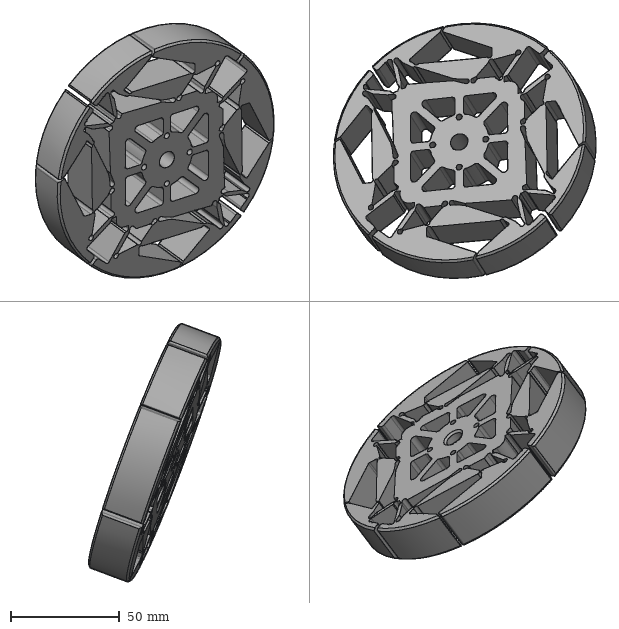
import cadquery as cq
import math


width = 20.0
rim_radius = 60.0
rim_chamfer = 1.0
outside_reach = rim_radius + 2.0

bore_diameter = 8.2
bore_chamfer = 1.0
screw_diameter = 2.8
screw_circle_radius = 12.6
hub_ring_radius = 14.0
spoke_half_width = 2.0
hub_window_top = 23.0
hub_window_fillet = 1.5
hub_window_tip_fillet = 1.8
hub_half_size = 28.0
hub_corner_radius = 4.5
hub_top = 31.0

hinge_thickness = 0.8
relief_radius = 1.2
relief_offset = hinge_thickness / 2 + relief_radius

neck_u, neck_v = -5.1, 30.2
left_foot_u, left_foot_v = -20.9, 30.2
left_foot_drop = 0.6
right_foot_u, right_foot_v = 28.1, 31.2
right_head_u, right_head_v = 31.4, 44.6
right_head_drop = 0.3

neck_left_relief = (neck_u - relief_offset, neck_v)
neck_right_relief = (neck_u + relief_offset, neck_v)
left_foot_inner_relief = (left_foot_u + relief_offset, left_foot_v)
left_foot_outer_relief = (left_foot_u - relief_offset, left_foot_v - left_foot_drop)
left_head_relief = (-28.1, 41.9)
right_foot_inner_relief = (right_foot_u - relief_offset, right_foot_v)
right_foot_outer_relief = (right_foot_u + relief_offset, right_foot_v)
right_head_inner_relief = (right_head_u - relief_offset, right_head_v)
right_head_outer_relief = (right_head_u + relief_offset, right_head_v - right_head_drop)
window_left_relief = (-14.3, 42.0)
window_right_relief = (20.3, 42.4)
lobe_left_relief = (-15.2, 38.9)
lobe_right_relief = (21.2, 39.2)

rim_gap_half_width = 1.0
rim_end_fillet = 1.2
rim_gap_mouth_fillet = 1.0
rim_gap_mouth_half_width = 3.0
rim_gap_mouth_distance = math.sqrt(rim_radius ** 2 - rim_gap_half_width ** 2)
left_rim_inner = 55.2
right_rim_inner = 56.0
right_rim_inner_length = 6.5

slot_left_u = 6.25
slot_right_u = 7.6
slot_mouth_fillet = 0.3
slot_mouth_reach = 2.0

wheel_plane = cq.Plane(origin=(width / 2, 0, 0), xDir=(0, -1, 0), normal=(-1, 0, 0))


def shifted(point, du, dv):
    return (point[0] + du, point[1] + dv)


def on_circle(centre, degrees):
    """Point on the rim of a relief."""
    angle = math.radians(degrees)
    return shifted(centre, relief_radius * math.cos(angle), relief_radius * math.sin(angle))


def rounded_prism(corners):
    """Full-width prism over a closed outline, with the given corner radii."""
    sketch = cq.Workplane(wheel_plane)
    count = len(corners)
    for index, corner in enumerate(corners):
        here = cq.Vector(*corner[:2])
        radius = corner[2] if len(corner) > 2 else 0
        points = [here]
        if radius > 0:
            back = (cq.Vector(*corners[index - 1][:2]) - here).normalized()
            ahead = (cq.Vector(*corners[(index + 1) % count][:2]) - here).normalized()
            half_angle = back.getAngle(ahead) / 2
            tangent_length = radius / math.tan(half_angle)
            middle_distance = radius / math.sin(half_angle) - radius
            middle = here + (back + ahead).normalized() * middle_distance
            points = [here + back * tangent_length, middle, here + ahead * tangent_length]
        start = points[0].toTuple()[:2]
        sketch = sketch.moveTo(*start) if index == 0 else sketch.lineTo(*start)
        if radius > 0:
            sketch = sketch.threePointArc(points[1].toTuple()[:2], points[2].toTuple()[:2])
    return sketch.close().extrude(width)


def rim_tangent_point(u, reach=0):
    """Point on the tangent to the rim at u, a reach in u away from the touching point."""
    v = math.sqrt(rim_radius ** 2 - u ** 2)
    return (u + reach, v - reach * u / v)


def cylinders(centres, radius):
    return cq.Workplane(wheel_plane).pushPoints(centres).circle(radius).extrude(width)


def wheel_blank():
    return cq.Workplane(wheel_plane).circle(rim_radius).extrude(width).edges().chamfer(rim_chamfer)


def lobe_window():
    """Opening inside a lobe, with the slanted gap through the rim."""
    corners = [
        on_circle(window_left_relief, -42),
        on_circle(window_right_relief, -144),
        window_right_relief,
        on_circle(window_right_relief, -20),
        (23.9, 44.0, 0.5),
        (9.1, 56.4),
        (*rim_tangent_point(slot_right_u), slot_mouth_fillet),
        rim_tangent_point(slot_right_u, slot_mouth_reach),
        (slot_right_u, outside_reach),
        (slot_left_u, outside_reach),
        rim_tangent_point(slot_left_u, -slot_mouth_reach),
        (*rim_tangent_point(slot_left_u), slot_mouth_fillet),
        (8.1, 56.6, 0.4),
        (window_left_relief[0] - relief_radius, 45.7, 0.8),
        on_circle(window_left_relief, 180),
        window_left_relief,
    ]
    reliefs = cylinders([window_left_relief, window_right_relief], relief_radius)
    return rounded_prism(corners).union(reliefs)


def left_void():
    """Opening between the left leg, the lobe and the hub."""
    corners = [
        left_head_relief,
        on_circle(left_head_relief, 270),
        (-27.2, 40.7),
        (-20.9, 31.8),
        on_circle(left_foot_inner_relief, 180),
        left_foot_inner_relief,
        on_circle(left_foot_inner_relief, -50),
        (-16.8, hub_top),
        (-8.6, hub_top),
        on_circle(neck_left_relief, 225),
        neck_left_relief,
        on_circle(neck_left_relief, 65),
        (-8.0, 32.0),
        on_circle(lobe_left_relief, -10),
        lobe_left_relief,
        on_circle(lobe_left_relief, 140),
        (-26.5, 41.4),
        on_circle(left_head_relief, 20),
    ]
    reliefs = [left_head_relief, left_foot_inner_relief, neck_left_relief, lobe_left_relief]
    return rounded_prism(corners).union(cylinders(reliefs, relief_radius))


def right_void():
    """Opening between the lobe, the right leg and the hub."""
    corners = [
        neck_right_relief,
        on_circle(neck_right_relief, 90),
        (0.5, 31.8),
        (3.3, 32.5),
        (20.5, 40.25),
        lobe_right_relief,
        on_circle(lobe_right_relief, 50),
        (26.8, 43.1),
        on_circle(right_head_inner_relief, 155),
        right_head_inner_relief,
        on_circle(right_head_inner_relief, -25),
        (29.1, 41.2),
        (27.7, 34.0),
        on_circle(right_foot_inner_relief, 0),
        right_foot_inner_relief,
        on_circle(right_foot_inner_relief, 220),
        (24.8, 32.0),
        (2.7, 31.2),
        on_circle(neck_right_relief, -65),
    ]
    reliefs = [neck_right_relief, lobe_right_relief, right_head_inner_relief, right_foot_inner_relief]
    return rounded_prism(corners).union(cylinders(reliefs, relief_radius))


def mirrored_outline(half, side):
    """Close a half outline with its image across the diagonal v = side * u."""
    image = [(side * v, side * u, *radius) for u, v, *radius in half]
    on_diagonal = math.isclose(half[-1][0], side * half[-1][1])
    return half + image[::-1][1 if on_diagonal else 0:]


def diagonal_point(side, along, across):
    """Point at a distance along the diagonal v = side * u and off it toward the lobe on top."""
    return (side * (along - across) / math.sqrt(2), (along + across) / math.sqrt(2))


def rim_gap_mouth(side):
    """Half outline of the rounded mouth of a gap through the rim."""
    return [
        diagonal_point(side, outside_reach, rim_gap_mouth_half_width),
        diagonal_point(side, rim_gap_mouth_distance, rim_gap_mouth_half_width),
        (*diagonal_point(side, rim_gap_mouth_distance, rim_gap_half_width), rim_gap_mouth_fillet),
    ]


def left_corner():
    """Opening on the left diagonal between two neighbouring left legs."""
    half = [
        *rim_gap_mouth(-1),
        (*diagonal_point(-1, left_rim_inner, rim_gap_half_width), rim_end_fillet),
        (-32.75, 44.85, relief_radius),
        (-23.3, 31.3),
        on_circle(left_foot_outer_relief, 90),
        left_foot_outer_relief,
        on_circle(left_foot_outer_relief, 0),
        (left_foot_outer_relief[0] + relief_radius, hub_half_size),
        (-hub_half_size, hub_half_size, hub_corner_radius),
    ]
    reliefs = [left_foot_outer_relief, (-left_foot_outer_relief[1], -left_foot_outer_relief[0])]
    return rounded_prism(mirrored_outline(half, -1)).union(cylinders(reliefs, relief_radius))


def right_corner():
    """Opening on the right diagonal between two neighbouring right legs."""
    half = [
        *rim_gap_mouth(1),
        (*diagonal_point(1, right_rim_inner, rim_gap_half_width), rim_end_fillet),
        diagonal_point(1, right_rim_inner, right_rim_inner_length),
        on_circle(right_head_outer_relief, 0),
        right_head_outer_relief,
        on_circle(right_head_outer_relief, 180),
        (29.5, 32.8),
        on_circle(right_foot_outer_relief, 180),
        (29.2, 29.2),
    ]
    reliefs = []
    for u, v in (right_head_outer_relief, right_foot_outer_relief):
        reliefs += [(u, v), (v, u)]
    return rounded_prism(mirrored_outline(half, 1)).union(cylinders(reliefs, relief_radius))


def hub_window():
    """One of the eight openings between the hub spokes, just right of the top spoke."""
    spoke_edge = spoke_half_width * math.sqrt(2)
    wedge = rounded_prism([
        (spoke_half_width, hub_window_top),
        (hub_window_top - spoke_edge, hub_window_top),
        (spoke_half_width, spoke_half_width + spoke_edge),
    ])
    window = wedge.cut(cylinders([(0, 0)], hub_ring_radius))
    window = window.edges("|X and (not <Y)").fillet(hub_window_fillet)
    return window.edges("|X").edges("<Y").fillet(hub_window_tip_fillet)


def cut_with_mirrors(body, cutter):
    """Cut with a cutter and its images across both diagonals."""
    half_turned = cutter.rotate((0, 0, 0), (1, 0, 0), 180)
    for copy in (cutter, half_turned):
        body = body.cut(copy).cut(copy.mirror((0, 1, 1)))
    return body


def cut_with_half_turn(body, cutter):
    return body.cut(cutter).cut(cutter.rotate((0, 0, 0), (1, 0, 0), 180))


def cut_hub(body):
    window = hub_window()
    for turn in range(4):
        quarter = window.rotate((0, 0, 0), (1, 0, 0), 90 * turn)
        body = body.cut(quarter).cut(quarter.mirror("XZ"))
    screws = cq.Workplane(wheel_plane).polarArray(screw_circle_radius, 0, 360, 4)
    body = body.cut(screws.circle(screw_diameter / 2).extrude(width))
    bore_radius = bore_diameter / 2
    body = body.cut(cylinders([(0, 0)], bore_radius))
    cone = cq.Solid.makeCone(
        bore_radius + bore_chamfer, bore_radius, bore_chamfer,
        pnt=cq.Vector(-width / 2, 0, 0), dir=cq.Vector(1, 0, 0),
    )
    return body.cut(cq.Workplane(cone))


wheel = wheel_blank()
for lobe_opening in (lobe_window(), left_void(), right_void()):
    wheel = cut_with_mirrors(wheel, lobe_opening)
for corner_opening in (left_corner(), right_corner()):
    wheel = cut_with_half_turn(wheel, corner_opening)
result = cut_hub(wheel)